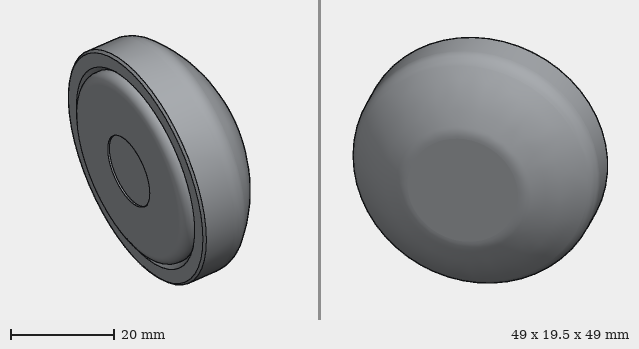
import cadquery as cq
import math


outer_radius = 24.5
housing_front = 1.55
housing_back = 19.5
front_chamfer = 0.5
edge_radius = 4.9
shoulder_inset = 1.4
shoulder_end = 11.9
dome_end_radius = 13.45
back_drop = 0.65
dome_bulge = 0.65

pad_radius = 20.05
pad_fillet = 2.05
pad_back = 5.5
dimple_radius = 7.5
dimple_depth = 0.4
seat_chamfer = 0.6
seat_lead_depth = 0.6
seat_mouth_radius = 21.05


def revolve_profile(profile):
    return profile.close().revolve(360, (0, 0, 0), (0, 1, 0))


def rounding_reach(radius, rise):
    """Length of a tangent arc that departs by `rise` from its tangent line."""
    return math.sqrt(2 * radius * rise - rise**2)


def make_housing():
    """Domed disc with a cylindrical seat, opened by a lead-in cone and a bevel, in the front face."""
    shoulder_radius = outer_radius - shoulder_inset
    shoulder_start = shoulder_end - rounding_reach(edge_radius, shoulder_inset)
    dome_end = housing_back - back_drop
    back_flat_radius = dome_end_radius - rounding_reach(edge_radius, back_drop)
    seat_lead_start = housing_front + seat_chamfer
    seat_lead_radius = seat_mouth_radius - seat_chamfer

    chord_run = shoulder_radius - dome_end_radius
    chord_rise = dome_end - shoulder_end
    chord = math.hypot(chord_run, chord_rise)
    dome_middle = (
        (shoulder_radius + dome_end_radius) / 2 + dome_bulge * chord_rise / chord,
        (shoulder_end + dome_end) / 2 + dome_bulge * chord_run / chord,
    )

    profile = (
        cq.Workplane("XY")
        .moveTo(0, pad_back)
        .lineTo(pad_radius, pad_back)
        .lineTo(pad_radius, seat_lead_start + seat_lead_depth)
        .lineTo(seat_lead_radius, seat_lead_start)
        .lineTo(seat_mouth_radius, housing_front)
        .lineTo(outer_radius - front_chamfer, housing_front)
        .lineTo(outer_radius, housing_front + front_chamfer)
        .lineTo(outer_radius, shoulder_start)
        .radiusArc((shoulder_radius, shoulder_end), -edge_radius)
        .threePointArc(dome_middle, (dome_end_radius, dome_end))
        .radiusArc((back_flat_radius, housing_back), -edge_radius)
        .lineTo(0, housing_back)
    )
    return revolve_profile(profile)


def make_pad():
    """Round pad with a rounded front edge and a shallow central dimple."""
    profile = (
        cq.Workplane("XY")
        .moveTo(0, dimple_depth)
        .lineTo(dimple_radius, dimple_depth)
        .lineTo(dimple_radius, 0)
        .lineTo(pad_radius - pad_fillet, 0)
        .radiusArc((pad_radius, pad_fillet), -pad_fillet)
        .lineTo(pad_radius, pad_back)
        .lineTo(0, pad_back)
    )
    return revolve_profile(profile)


housing = make_housing()
pad = make_pad()

result = cq.Compound.makeCompound([housing.val(), pad.val()])